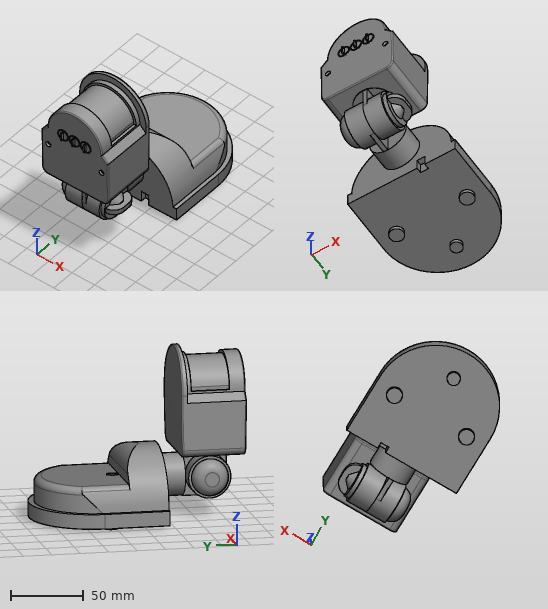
import cadquery as cq
import math

TOTAL_LENGTH = 148.8

PLATE_WIDTH = 88.0
PLATE_HALF_WIDTH = PLATE_WIDTH / 2
PLATE_ARC_Y = 45.7
PLATE_THICKNESS = 10.3

SHELL_RADIUS = 40.9
SHELL_ARC_Y = 44.6
ARCH_AXIS_Z = 8.2
DECK_Z = 28.1
DECK_FILLET = 4.9
HOOD_DEPTH = 27.0
HOOD_FILLET = 14.3

INDICATOR_RADIUS = 3.9
INDICATOR_Y = 31.4
INDICATOR_DEPTH = 0.7

NOTCH_X = 12.8
NOTCH_WIDTH = 6.4
NOTCH_HEIGHT = 9.0
NOTCH_DEPTH = 4.5

FOOT_HEIGHT = 3.0
SIDE_FOOT_X = 28.9
SIDE_FOOT_Y = 38.7
SIDE_FOOT_RADIUS = 5.5
REAR_FOOT_Y = 69.8
REAR_FOOT_RADIUS = 4.6

JOINT_Y = -34.0
JOINT_Z = 26.2
JOINT_RADIUS = 14.9
JOINT_HALF_LENGTH = 15.0
NECK_REACH = 17.0
TAB_THICKNESS = 3.5

CAP_RADIUS = 13.0
CAP_LENGTH = 8.3
CAP_FILLET = 7.9

WASHER_LENGTH = 3.1
CONE_RADIUS = 7.7
CONE_LENGTH = 4.9
CONE_ANGLE = 45
WING_LENGTH = 9.0
WING_HALF_WIDTH = 11.6
WING_THICKNESS = 4.2
WING_FILLET = 8.8

HEAD_HALF_WIDTH = 29.3
HEAD_ARC_Z = 87.8
HEAD_BOTTOM_Z = 43.6
HEAD_CORNER_FILLET = 5.4
HEAD_TOP_Z = HEAD_ARC_Z + HEAD_HALF_WIDTH
HEAD_EDGE_FILLET = 0.9

BACK_Y = -12.2
BACK_BULGE = 0.9
RIM_FRONT_Y = -15.3
FACE_BOTTOM_Y = -56.4
FACE_TOP_Y = -57.6

TURRET_RADIUS = 24.0
SHOULDER_DROP = HEAD_HALF_WIDTH - TURRET_RADIUS

LENS_FRONT_Y = -46.1
LENS_BACK_Y = -19.2
LENS_X = -0.5
LENS_HALF_WIDTH = 22.0
LENS_BOTTOM_Z = 89.4
LENS_SPRING_Z = 92.1
LENS_TOP_Z = 109.7

KNOB_PITCH = 10.0
KNOB_Z = 87.3
KNOB_RADIUS = 4.2
KNOB_GAP = 0.5
KNOB_GROOVE_DEPTH = 0.9
BLADE_WIDTH = 1.2
BLADE_HEIGHT = 6.2
BLADE_TIP_Y = PLATE_ARC_Y + PLATE_HALF_WIDTH - TOTAL_LENGTH

SCREW_X = 23.5
SCREW_Z = 71.7
SCREW_RADIUS = 2.1
SCREW_FLOOR_RADIUS = 1.3
SCREW_DEPTH = 1.5


def along_x(x, y, z):
    """Sketch plane with its normal along +X: local x is Y, local y is Z."""
    return cq.Workplane("YZ", origin=(x, y, z))


def along_minus_y(y):
    """Sketch plane with its normal along -Y: local x is X, local y is Z."""
    return cq.Workplane("XZ", origin=(0, y, 0))


def arch_outline(plane, half_width, arc_centre, bottom):
    """Straight-sided outline closed by a semicircle at its far end."""
    return (
        plane.moveTo(-half_width, bottom)
        .lineTo(half_width, bottom)
        .lineTo(half_width, arc_centre)
        .threePointArc((0, arc_centre + half_width), (-half_width, arc_centre))
        .close()
    )


def make_shell():
    """Arched upper part: a low deck at the rear and a tall hood at the front."""
    rear_y = SHELL_ARC_Y + SHELL_RADIUS
    roof = (
        along_minus_y(rear_y)
        .center(0, ARCH_AXIS_Z)
        .circle(SHELL_RADIUS)
        .extrude(rear_y)
    )
    deck = arch_outline(
        cq.Workplane("XY", origin=(0, 0, PLATE_THICKNESS)), SHELL_RADIUS, SHELL_ARC_Y, 0
    ).extrude(DECK_Z - PLATE_THICKNESS)
    deck = deck.intersect(roof)
    deck = deck.faces(">Z").edges("not <Y").fillet(DECK_FILLET)

    hood_top = ARCH_AXIS_Z + SHELL_RADIUS
    hood = (
        cq.Workplane("XY", origin=(0, 0, PLATE_THICKNESS))
        .rect(2 * SHELL_RADIUS, 2 * HOOD_DEPTH)
        .extrude(hood_top - PLATE_THICKNESS)
        .edges(">Y and >Z")
        .fillet(HOOD_FILLET)
        .intersect(roof)
    )
    return deck.union(hood)


def make_feet():
    side_feet = (
        cq.Workplane("XY")
        .pushPoints([(-SIDE_FOOT_X, SIDE_FOOT_Y), (SIDE_FOOT_X, SIDE_FOOT_Y)])
        .circle(SIDE_FOOT_RADIUS)
        .extrude(-FOOT_HEIGHT)
    )
    rear_foot = (
        cq.Workplane("XY").center(0, REAR_FOOT_Y).circle(REAR_FOOT_RADIUS).extrude(-FOOT_HEIGHT)
    )
    return side_feet, rear_foot


def make_base_knuckle():
    """Neck, flat tab, knuckle half and domed cap on the -X side of the joint."""
    neck = along_minus_y(0).center(0, JOINT_Z).circle(JOINT_RADIUS).extrude(-JOINT_Y - NECK_REACH)
    tab = (
        along_x(0, JOINT_Y, JOINT_Z)
        .center(NECK_REACH / 2, 0)
        .rect(NECK_REACH, 2 * JOINT_RADIUS)
        .extrude(-TAB_THICKNESS)
    )
    boss = along_x(0, JOINT_Y, JOINT_Z).circle(JOINT_RADIUS).extrude(-JOINT_HALF_LENGTH)
    cap = (
        along_x(-JOINT_HALF_LENGTH, JOINT_Y, JOINT_Z)
        .circle(CAP_RADIUS)
        .extrude(-CAP_LENGTH)
        .faces("<X")
        .edges()
        .fillet(CAP_FILLET)
    )
    return neck.union(tab).union(boss).union(cap)


def make_base():
    base = arch_outline(cq.Workplane("XY"), PLATE_HALF_WIDTH, PLATE_ARC_Y, 0).extrude(PLATE_THICKNESS)
    base = base.union(make_shell())
    for feet in make_feet():
        base = base.union(feet)
    indicator = (
        cq.Workplane("XY", origin=(0, INDICATOR_Y, DECK_Z))
        .circle(INDICATOR_RADIUS)
        .extrude(-INDICATOR_DEPTH)
    )
    notch = cq.Workplane("XY").box(NOTCH_WIDTH, NOTCH_DEPTH, NOTCH_HEIGHT, centered=False)
    notch = notch.translate((NOTCH_X, 0, 0))
    return base.cut(indicator).cut(notch).union(make_base_knuckle())


def make_housing():
    """Rounded rim plate with a narrower turret in front, between bulging back and leaning face."""
    depth = -FACE_TOP_Y
    rim = arch_outline(along_minus_y(0), HEAD_HALF_WIDTH, HEAD_ARC_Z, HEAD_BOTTOM_Z).extrude(-RIM_FRONT_Y)
    turret = (
        along_minus_y(0)
        .moveTo(-HEAD_HALF_WIDTH, HEAD_BOTTOM_Z)
        .lineTo(HEAD_HALF_WIDTH, HEAD_BOTTOM_Z)
        .lineTo(HEAD_HALF_WIDTH, HEAD_ARC_Z - SHOULDER_DROP)
        .lineTo(TURRET_RADIUS, HEAD_ARC_Z)
        .threePointArc((0, HEAD_ARC_Z + TURRET_RADIUS), (-TURRET_RADIUS, HEAD_ARC_Z))
        .lineTo(-HEAD_HALF_WIDTH, HEAD_ARC_Z - SHOULDER_DROP)
        .close()
        .extrude(depth)
    )
    side_profile = (
        along_x(-HEAD_HALF_WIDTH, 0, 0)
        .moveTo(FACE_BOTTOM_Y, HEAD_BOTTOM_Z)
        .lineTo(BACK_Y, HEAD_BOTTOM_Z)
        .threePointArc(
            (BACK_Y + BACK_BULGE, (HEAD_BOTTOM_Z + HEAD_TOP_Z) / 2), (BACK_Y, HEAD_TOP_Z)
        )
        .lineTo(FACE_TOP_Y, HEAD_TOP_Z)
        .close()
        .extrude(2 * HEAD_HALF_WIDTH)
    )
    housing = rim.union(turret)
    housing = housing.edges("|Y and <Z").fillet(HEAD_CORNER_FILLET).intersect(side_profile)
    return housing.faces("<Y or >Y").edges().fillet(HEAD_EDGE_FILLET)


def make_lens_groove():
    """Space around the lens: everything above the groove floor except the lens itself."""
    length = LENS_BACK_Y - LENS_FRONT_Y
    surround = (
        along_minus_y(LENS_BACK_Y)
        .moveTo(-HEAD_HALF_WIDTH, LENS_BOTTOM_Z)
        .lineTo(HEAD_HALF_WIDTH, LENS_BOTTOM_Z)
        .lineTo(HEAD_HALF_WIDTH, HEAD_TOP_Z)
        .lineTo(-HEAD_HALF_WIDTH, HEAD_TOP_Z)
        .close()
        .extrude(length)
    )
    lens = (
        along_minus_y(LENS_BACK_Y)
        .moveTo(LENS_X - LENS_HALF_WIDTH, LENS_BOTTOM_Z)
        .lineTo(LENS_X + LENS_HALF_WIDTH, LENS_BOTTOM_Z)
        .lineTo(LENS_X + LENS_HALF_WIDTH, LENS_SPRING_Z)
        .threePointArc((LENS_X, LENS_TOP_Z), (LENS_X - LENS_HALF_WIDTH, LENS_SPRING_Z))
        .close()
        .extrude(length)
    )
    return surround.cut(lens)


def face_plane(x, z):
    """Plane on the leaning front face at the given X and height, its normal pointing outwards."""
    lean = (FACE_TOP_Y - FACE_BOTTOM_Y) / (HEAD_TOP_Z - HEAD_BOTTOM_Z)
    y = FACE_BOTTOM_Y + lean * (z - HEAD_BOTTOM_Z)
    return cq.Plane(origin=(x, y, z), xDir=(1, 0, 0), normal=(0, -1, lean))


def make_knob_groove(x):
    """Thin ring groove that sets a round knob off from the face."""
    return (
        cq.Workplane(face_plane(x, KNOB_Z))
        .circle(KNOB_RADIUS + KNOB_GAP)
        .circle(KNOB_RADIUS)
        .extrude(-KNOB_GROOVE_DEPTH)
    )


def make_blade(x):
    """Upright grip of one knob, rooted in the head and ending in front of the face."""
    root_y = FACE_BOTTOM_Y + KNOB_GROOVE_DEPTH
    return (
        along_minus_y(root_y)
        .center(x, KNOB_Z)
        .rect(BLADE_WIDTH, BLADE_HEIGHT)
        .extrude(root_y - BLADE_TIP_Y)
    )


def make_screw_recess(x):
    """Tapered recess that narrows from the face to its floor."""
    taper = math.degrees(math.atan((SCREW_RADIUS - SCREW_FLOOR_RADIUS) / SCREW_DEPTH))
    return cq.Workplane(face_plane(x, SCREW_Z)).circle(SCREW_RADIUS).extrude(-SCREW_DEPTH, taper=taper)


def make_head_knuckle():
    """Neck stub, flat tab, knuckle half and wing nut on the +X side of the joint."""
    neck_z = JOINT_Z + NECK_REACH
    neck = (
        cq.Workplane("XY", origin=(0, JOINT_Y, neck_z))
        .circle(JOINT_RADIUS)
        .extrude(HEAD_BOTTOM_Z - neck_z)
    )
    tab = (
        along_x(0, JOINT_Y, JOINT_Z)
        .center(0, NECK_REACH / 2)
        .rect(2 * JOINT_RADIUS, NECK_REACH)
        .extrude(TAB_THICKNESS)
    )
    boss = along_x(0, JOINT_Y, JOINT_Z).circle(JOINT_RADIUS).extrude(JOINT_HALF_LENGTH)
    washer = along_x(JOINT_HALF_LENGTH, JOINT_Y, JOINT_Z).circle(CAP_RADIUS).extrude(WASHER_LENGTH)
    nut_x = JOINT_HALF_LENGTH + WASHER_LENGTH
    cone = along_x(nut_x, JOINT_Y, JOINT_Z).circle(CONE_RADIUS).extrude(CONE_LENGTH, taper=CONE_ANGLE)
    wing = (
        along_x(nut_x, JOINT_Y, JOINT_Z)
        .rect(2 * WING_HALF_WIDTH, WING_THICKNESS)
        .extrude(WING_LENGTH)
        .edges("|Z and >X")
        .fillet(WING_FILLET)
    )
    return neck.union(tab).union(boss).union(washer).union(cone).union(wing)


def make_head():
    head = make_housing().cut(make_lens_groove())
    for step in (-1, 0, 1):
        x = LENS_X + step * KNOB_PITCH
        head = head.cut(make_knob_groove(x))
        head = head.union(make_blade(x))
    for x in (-SCREW_X, SCREW_X):
        head = head.cut(make_screw_recess(x))
    return head.union(make_head_knuckle())


base = make_base()
head = make_head()
result = cq.Compound.makeCompound([base.solids().val(), head.solids().val()])